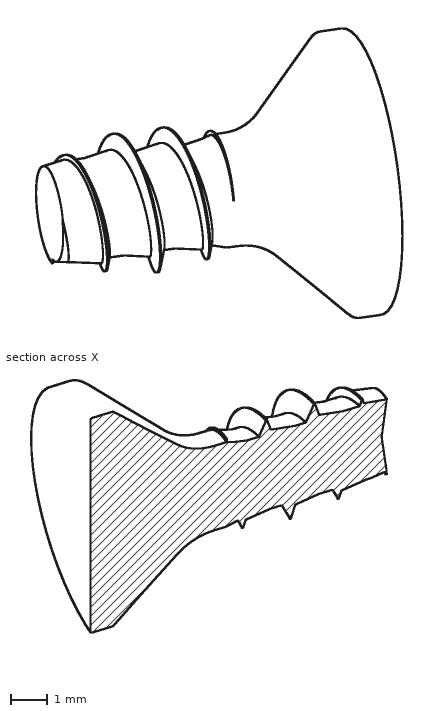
import cadquery as cq
import math


length = 9.0
head_radius = 4.0
rim_height = 0.69
top_edge_fillet = 0.06
rim_edge_fillet = 0.1
neck_fillet = 1.6
shoulder_radius = 1.58
shoulder_depth = 4.11
core_start_depth = 4.74
core_radius = 1.41
tip_taper_length = 0.5
tip_radius = 1.33

hollow_radius = 1.31
hollow_depth = 0.15

pitch = 1.453
first_crest_depth = 4.26
thread_radius = 2.0
first_turn = -0.45
full_thread_turn = 1.0
run_out_turn = 1.75
last_turn = 3.3
run_in_radius = 1.61
start_gap = 0.04
start_squeeze = 0.2
run_out_per_turn = 0.4

crest_width = 0.04
lead_width = 0.28
trail_width = 0.15
ramp_width = 0.88
ramp_drop = 0.16
foot_radius = 1.54
least_foot_radius = 1.43
least_crest_height = 0.13
root_overlap = 0.03
least_crest_radius = 1.435
inner_radius = 1.1
points_per_turn = 24


def revolve_about_axis(outline):
    return outline.close().revolve(360, (0, 0, 0), (0, 1, 0))


def make_head():
    """Head, 45 degree underside, neck fillet and shoulder."""
    diagonal = math.sqrt(0.5)
    cone_end_radius = shoulder_radius + neck_fillet * (1 - diagonal)
    cone_end_depth = rim_height + head_radius - cone_end_radius
    neck_end_depth = cone_end_depth + neck_fillet * diagonal

    outline = (
        cq.Workplane("XY")
        .moveTo(0, 0)
        .lineTo(head_radius, 0)
        .lineTo(head_radius, -rim_height)
        .lineTo(cone_end_radius, -cone_end_depth)
        .radiusArc((shoulder_radius, -neck_end_depth), -neck_fillet)
        .lineTo(shoulder_radius, -shoulder_depth)
        .lineTo(0, -shoulder_depth)
    )
    head = revolve_about_axis(outline)
    head = head.faces(">Y").edges().fillet(top_edge_fillet)
    rim_edge = head.edges("%CIRCLE").edges(cq.selectors.NearestToPointSelector((0, -rim_height, 0)))
    return rim_edge.fillet(rim_edge_fillet)


def make_core():
    """Plain core of the shank, slightly tapered at the tip."""
    outline = (
        cq.Workplane("XY")
        .moveTo(0, -shoulder_depth)
        .lineTo(core_radius, -shoulder_depth)
        .lineTo(core_radius, tip_taper_length - length)
        .lineTo(tip_radius, -length)
        .lineTo(0, -length)
    )
    return revolve_about_axis(outline)


def make_shoulder_cone():
    """Cone easing the shoulder down to the core."""
    outline = (
        cq.Workplane("XY")
        .moveTo(0, -shoulder_depth)
        .lineTo(shoulder_radius, -shoulder_depth)
        .lineTo(core_radius, -core_start_depth)
        .lineTo(0, -core_start_depth)
    )
    return revolve_about_axis(outline)


def crest_radius(turn):
    """Crest height: rises over the run-in, stays full, then falls over the run-out."""
    run_in_share = (turn - first_turn) / (full_thread_turn - first_turn)
    run_in = run_in_radius + (thread_radius - run_in_radius) * run_in_share
    run_out = thread_radius - run_out_per_turn * (turn - run_out_turn)
    return max(min(run_in, thread_radius, run_out), least_crest_radius)


def thread_section(turn):
    """Corners (axial offset, radius): steep flanks, then a gentle ramp toward the tip."""
    crest = crest_radius(turn)
    root = core_radius - root_overlap
    foot = min(foot_radius, max(crest - least_crest_height, least_foot_radius))
    height_share = (crest - root) / (thread_radius - root)
    lead = max(lead_width * height_share, crest_width)
    trail = max(trail_width * height_share, crest_width)
    ramp_end = trail_width + ramp_width
    return [
        (-lead, inner_radius),
        (-lead, min(root, crest - root_overlap)),
        (-crest_width / 2, crest),
        (crest_width / 2, crest),
        (trail, foot),
        (ramp_end, foot - ramp_drop),
        (ramp_end, inner_radius - root_overlap),
    ]


def place_on_helix(turn, offset, radius):
    """Point on the thread; where it starts, the ridge runs squeezed along the shoulder."""
    angle = 2 * math.pi * turn
    helix_depth = first_crest_depth + pitch * turn + offset
    start_depth = shoulder_depth + start_gap + start_squeeze * offset
    depth = max(helix_depth, start_depth)
    return cq.Vector(-radius * math.cos(angle), -depth, -radius * math.sin(angle))


def make_thread():
    """Helical ridge skinned between one curve per section corner."""
    steps = math.ceil((last_turn - first_turn) * points_per_turn)
    turns = [first_turn + (last_turn - first_turn) * i / steps for i in range(steps + 1)]
    sections = [[place_on_helix(t, *corner) for corner in thread_section(t)] for t in turns]
    curves = [cq.Edge.makeSpline(list(points), parameters=turns) for points in zip(*sections)]

    faces = []
    for i, curve in enumerate(curves):
        faces.append(cq.Face.makeRuledSurface(curves[i - 1], curve))
    for section in (sections[0], sections[-1]):
        faces.append(cq.Face.makeFromWires(cq.Wire.makePolygon(section, close=True)))
    ridge = cq.Workplane(cq.Solid.makeSolid(cq.Shell.makeShell(faces)))

    threaded_zone = (
        cq.Workplane("XZ", origin=(0, -shoulder_depth, 0))
        .circle(head_radius)
        .extrude(length - shoulder_depth)
    )
    return threaded_zone.intersect(ridge)


def make_tip_hollow():
    outline = (
        cq.Workplane("XY")
        .moveTo(0, -length)
        .lineTo(hollow_radius, -length)
        .lineTo(0, hollow_depth - length)
    )
    return revolve_about_axis(outline)


shank = make_core().union(make_thread(), clean=False).union(make_shoulder_cone(), clean=False)
result = make_head().union(shank, clean=False).cut(make_tip_hollow())